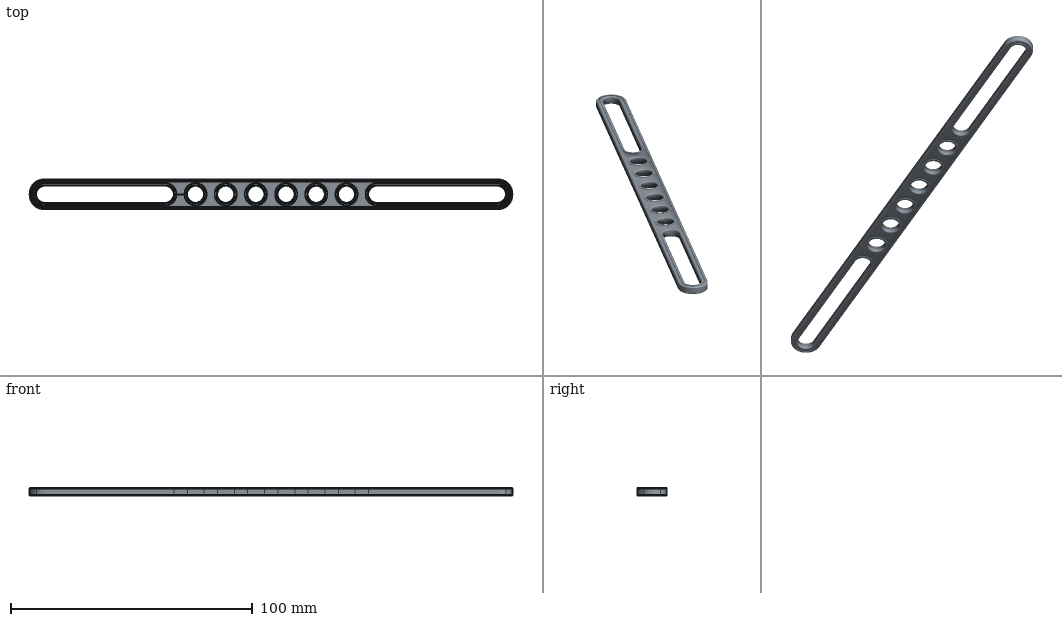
import cadquery as cq

length = 200.0
width = 12.5
thickness = 3.2
edge_chamfer = 0.32

pitches_per_length = 16
pitch = length / pitches_per_length
hole_count = 6
opening_width = 7.0
slot_inner_center = (hole_count + 1) / 2 * pitch
slot_outer_center = (length - pitch) / 2
slot_center = (slot_outer_center + slot_inner_center) / 2
slot_travel = slot_outer_center - slot_inner_center

pocket_depth = 0.3
outline_rim = 1.0
opening_rim_width = 9.2

rib_width = 0.2
rib_center = -hole_count / 2 * pitch

hole_points = [((i - (hole_count - 1) / 2) * pitch, 0) for i in range(hole_count)]
slot_points = [(-slot_center, 0), (slot_center, 0)]


def openings(opening_size):
    """Full-height bodies of all holes and slots with the given width."""
    plane = cq.Workplane("XY")
    holes = plane.pushPoints(hole_points).circle(opening_size / 2).extrude(thickness)
    slots = plane.pushPoints(slot_points).slot2D(slot_travel + opening_size, opening_size).extrude(thickness)
    return holes.union(slots)


def chamfered_bar():
    """Bar with its openings, every edge of both faces chamfered."""
    blank = cq.Workplane("XY").slot2D(length, width).extrude(thickness)
    pierced = blank.cut(openings(opening_width))
    return pierced.faces("<Z or >Z").edges().chamfer(edge_chamfer)


def pocket(bottom):
    """Body of the pocket on one face, starting at the given height."""
    area = (
        cq.Workplane("XY")
        .workplane(offset=bottom)
        .slot2D(length - 2 * outline_rim, width - 2 * outline_rim)
        .extrude(pocket_depth)
    )
    rib = cq.Workplane("XY").center(rib_center, 0).rect(pitch, rib_width).extrude(thickness)
    return area.cut(openings(opening_rim_width)).cut(rib)


result = chamfered_bar()
for pocket_bottom in (0, thickness - pocket_depth):
    result = result.cut(pocket(pocket_bottom))